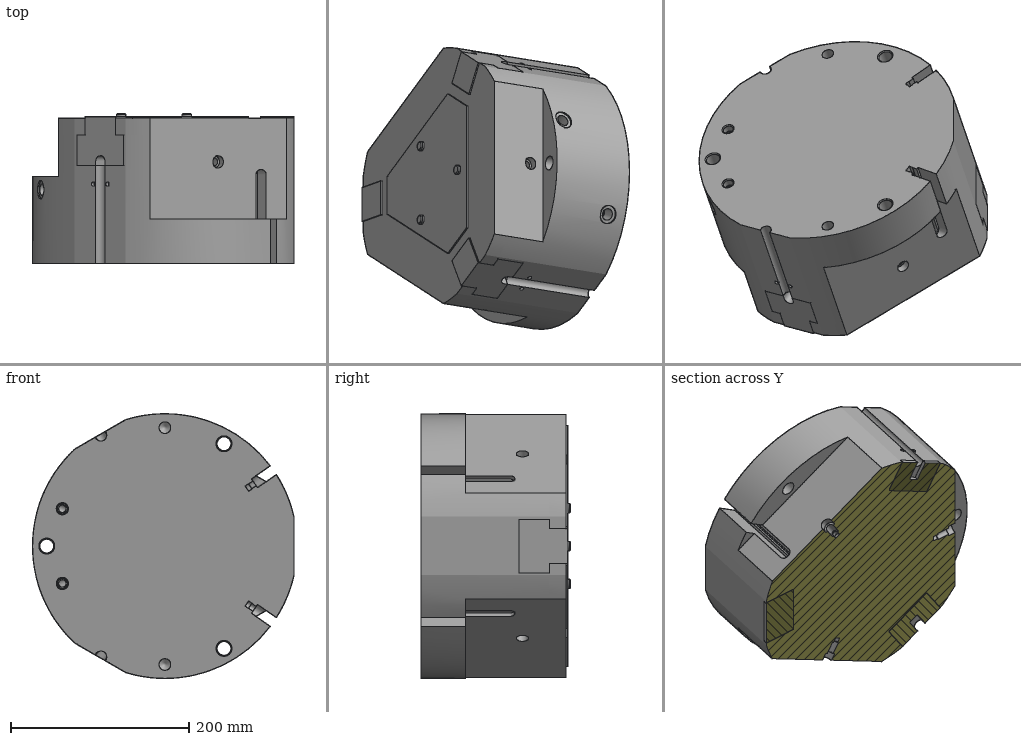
import cadquery as cq
import math


body_radius = 148.8
jaw_flat_width = 66.0
jaw_flat_distance = math.sqrt(body_radius**2 - (jaw_flat_width / 2) ** 2)
cover_seam_y = 144.3
body_depth = 163.3
jaw_angles = [0, 120, 240]

side_flat_distance = 119.5
side_flat_starts = {60: 50.3, 180: 98.0, 300: 50.3}
side_angles = list(side_flat_starts)

hub_jaw_side_distance = 94.0
hub_wide_side_distance = 66.0
hub_height = 1.8
hub_top_y = body_depth + hub_height
screw_circle_radius = 49.0
screw_head_diameter = 10.7
screw_head_height = 3.3
screw_head_chamfer = 1.2

jaw_bottom_y = 110.5
jaw_inner_radius = 107.0
jaw_neck_width = 39.3
jaw_foot_width = 60.0

channel_angles = [120, 240]
channel_diameter = 12.5
channel_radius = 143.5
slot_width = 12.0
slot_floor = 123.0
jaw_slot_end_y = 115.0
pin_hole_diameter = 4.5
pin_hole_depth = 6.0
pin_hole_offset = 9.2
pin_hole_y = 89.3

slot_angles = [35, 325]
slot_end_y = 99.7
slot_steps = [(slot_width, slot_floor), (6.5, 117.0), (7.0, 112.5)]

mount_circle_radius = 132.7
mount_hole_diameter = 15.5
mount_chamfer = 1.2

locating_circle_radius = 133.0
locating_diameter = 13.0
locating_depth = 18.0
locating_angles = [90, 270]
drill_point_angle = 118

air_ports = {160: 83.0, 200: 23.0}
port_spotface_diameter = 20.5
port_spotface_depth = 1.8
port_thread_diameter = 13.0
port_thread_depth = 18.5
port_bore_diameter = 10.0
face_port_radius = 122.5
port_bore_end = face_port_radius - port_bore_diameter / 2
face_port_diameter = 8.3
face_port_recess_diameter = 11.3
face_port_recess_depth = 9.0
face_port_chamfer = 1.2

side_hole_y = 114.3
side_bore_diameter = 13.7
side_bore_depth = 9.0
side_thread_diameter = 9.0
side_thread_depth = 23.8
side_core_diameter = 6.0
side_core_depth = 29.8


def turned(shape, angle):
    """Turn a shape about the gripper axis, from +X towards +Z."""
    return shape.rotate((0, 0, 0), (0, -1, 0), angle)


def axial_cylinder(radius_from_axis, diameter, start_y, end_y):
    """Cylinder parallel to the gripper axis, centred on the +X side."""
    return (
        cq.Workplane("XZ", origin=(radius_from_axis, start_y, 0))
        .circle(diameter / 2)
        .extrude(start_y - end_y)
    )


def axial_chamfer(radius_from_axis, diameter, size):
    """Cone that breaks the edge of an axial hole at the mounting face."""
    cone = cq.Solid.makeCone(
        diameter / 2 + size, diameter / 2, size,
        cq.Vector(radius_from_axis, 0, 0), cq.Vector(0, 1, 0),
    )
    return cq.Workplane(obj=cone)


def radial_cylinder(diameter, outer, inner, y, z=0.0):
    """Cylinder along X between two distances from the gripper axis."""
    return cq.Workplane("YZ", origin=(inner, y, z)).circle(diameter / 2).extrude(outer - inner)


def box_between(x_range, y_range, width):
    """Box given by its X and Y ranges and centred on Z = 0."""
    (x0, x1), (y0, y1) = x_range, y_range
    corner = cq.Workplane("XY", origin=(x0, y0, 0))
    return corner.box(x1 - x0, y1 - y0, width, centered=(False, False, True))


def round_ended_slot(width, outer, inner, start_y, end_y):
    """Radial slot whose far end in Y is a half circle centred at end_y."""
    straight = box_between((inner, outer), (start_y, end_y), width)
    return straight.union(radial_cylinder(width, outer, inner, end_y))


def jaw_block():
    """T-shaped block with its outer face flush with the jaw flat."""
    reach = (jaw_inner_radius, jaw_flat_distance)
    foot = box_between(reach, (jaw_bottom_y, cover_seam_y), jaw_foot_width)
    neck = box_between(reach, (cover_seam_y, hub_top_y), jaw_neck_width)
    return foot.union(neck)


def housing_layer(start_y, end_y):
    """Layer of the housing with its jaw flats and the side flats that reach into it."""
    disc = axial_cylinder(0, 2 * body_radius, start_y, end_y)
    for angle in jaw_angles:
        waste = box_between((jaw_flat_distance, 2 * body_radius), (start_y, end_y), 2 * body_radius)
        disc = disc.cut(turned(waste, angle))
    for angle, flat_start in side_flat_starts.items():
        waste_start = max(flat_start, start_y)
        waste = box_between((side_flat_distance, 2 * body_radius), (waste_start, end_y), 2 * body_radius)
        disc = disc.cut(turned(waste, angle))
    return disc


def hub():
    """Raised six-sided plate, with short sides facing the jaws, and three chamfered screw heads."""
    shape = axial_cylinder(0, 2 * body_radius, body_depth, hub_top_y)
    for distance, angles in (
        (hub_jaw_side_distance, jaw_angles),
        (hub_wide_side_distance, side_angles),
    ):
        waste = box_between((distance, 2 * body_radius), (body_depth, hub_top_y), 2 * body_radius)
        for angle in angles:
            shape = shape.cut(turned(waste, angle))
    head = axial_cylinder(
        screw_circle_radius, screw_head_diameter, hub_top_y, hub_top_y + screw_head_height
    )
    head = head.faces(">Y").chamfer(screw_head_chamfer)
    for angle in side_angles:
        shape = shape.union(turned(head, angle))
    return shape


def drilled_blind_hole():
    """Locating hole with a conical end."""
    radius = locating_diameter / 2
    point = cq.Solid.makeCone(
        radius, 0, radius / math.tan(math.radians(drill_point_angle / 2)),
        cq.Vector(locating_circle_radius, locating_depth, 0), cq.Vector(0, 1, 0),
    )
    bore = axial_cylinder(locating_circle_radius, locating_diameter, 0, locating_depth)
    return bore.union(cq.Workplane(obj=point))


def mounting_hole():
    """Through hole chamfered at the mounting face."""
    bore = axial_cylinder(mount_circle_radius, mount_hole_diameter, 0, body_depth)
    return bore.union(axial_chamfer(mount_circle_radius, mount_hole_diameter, mount_chamfer))


def air_port(port_y):
    """Spotfaced radial port and the recessed axial hole that meets it."""
    spotface_floor = body_radius - port_spotface_depth
    port = radial_cylinder(port_spotface_diameter, body_radius, spotface_floor, port_y)
    port = port.union(
        radial_cylinder(port_thread_diameter, body_radius, body_radius - port_thread_depth, port_y)
    )
    port = port.union(radial_cylinder(port_bore_diameter, body_radius, port_bore_end, port_y))
    port = port.union(axial_cylinder(face_port_radius, face_port_diameter, 0, port_y))
    port = port.union(
        axial_cylinder(face_port_radius, face_port_recess_diameter, 0, face_port_recess_depth)
    )
    return port.union(axial_chamfer(face_port_radius, face_port_recess_diameter, face_port_chamfer))


def side_hole():
    """Counterbored hole square to a side flat."""
    face = side_flat_distance
    hole = radial_cylinder(side_bore_diameter, face, face - side_bore_depth, side_hole_y)
    hole = hole.union(radial_cylinder(side_thread_diameter, face, face - side_thread_depth, side_hole_y))
    return hole.union(radial_cylinder(side_core_diameter, face, face - side_core_depth, side_hole_y))


def stepped_slot():
    """Radial slot that narrows towards the gripper axis."""
    slot = None
    outer = body_radius + slot_width
    for width, floor in slot_steps:
        step = round_ended_slot(width, outer, floor, 0, slot_end_y)
        slot = step if slot is None else slot.union(step)
        outer = floor
    return slot


def sensor_channel():
    """Half-round channel along a jaw flat, with a small pin hole on each side."""
    channel = axial_cylinder(channel_radius, channel_diameter, 0, jaw_bottom_y)
    for side in (-1, 1):
        channel = channel.union(
            radial_cylinder(
                pin_hole_diameter, jaw_flat_distance, jaw_flat_distance - pin_hole_depth,
                pin_hole_y, side * pin_hole_offset,
            )
        )
    return channel


def make_housing():
    """Housing with its cover, recesses, holes and hub."""
    housing = housing_layer(0, cover_seam_y).union(housing_layer(cover_seam_y, body_depth), clean=False)
    cutters = [turned(jaw_block(), angle) for angle in jaw_angles]
    cutters += [turned(side_hole(), angle) for angle in side_angles]
    cutters += [turned(sensor_channel(), angle) for angle in channel_angles]
    cutters += [turned(stepped_slot(), angle) for angle in slot_angles]
    cutters += [turned(mounting_hole(), angle) for angle in side_angles]
    cutters += [turned(drilled_blind_hole(), angle) for angle in locating_angles]
    cutters += [turned(air_port(port_y), angle) for angle, port_y in air_ports.items()]
    for cutter in cutters:
        housing = housing.cut(cutter, clean=False)
    return housing.union(hub(), clean=False)


def make_jaw(angle):
    """Jaw at the given angle, slotted where it ends a sensor channel."""
    jaw = jaw_block()
    if angle in channel_angles:
        slot = round_ended_slot(
            slot_width, jaw_flat_distance, slot_floor, jaw_bottom_y, jaw_slot_end_y
        )
        jaw = jaw.cut(slot)
    return turned(jaw, angle)


housing = make_housing()
jaws = [make_jaw(angle) for angle in jaw_angles]

result = cq.Compound.makeCompound([housing.val(), *[jaw.val() for jaw in jaws]])